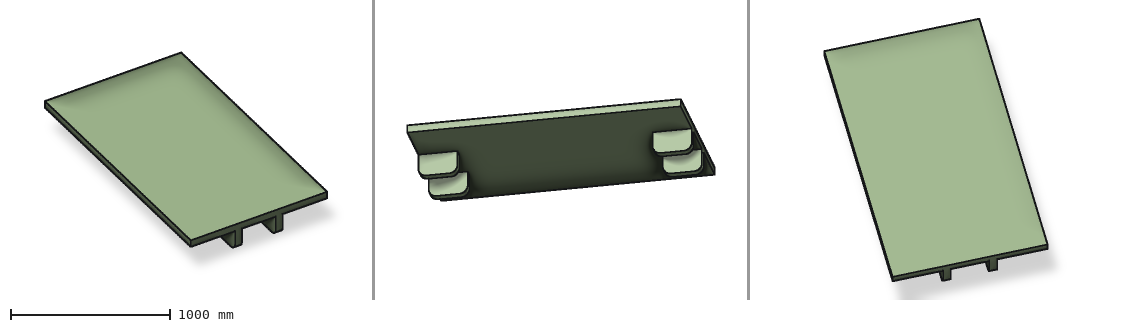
import cadquery as cq

plate_length = 1750.0
plate_width = 1000.0
plate_thickness = 50.0

total_height = 200.0
leg_height = total_height - plate_thickness
leg_length = 250.0
leg_thickness = 50.0
leg_spacing = 300.0
leg_corner_radius = 50.0


def make_plate():
    """Flat plate with its underside on the XY plane."""
    return cq.Workplane("XY").box(
        plate_length, plate_width, plate_thickness, centered=(True, True, False)
    )


def make_leg(x, y):
    """Leg centred at (x, y) below the plate, with its two lower corners rounded."""
    return (
        cq.Workplane("XY")
        .box(leg_length, leg_thickness, leg_height, centered=(True, True, False))
        .edges("|Y and <Z")
        .fillet(leg_corner_radius)
        .translate((x, y, -leg_height))
    )


leg_x = (plate_length - leg_length) / 2
leg_y = leg_spacing / 2

result = make_plate()
for x in (-leg_x, leg_x):
    for y in (-leg_y, leg_y):
        result = result.union(make_leg(x, y))